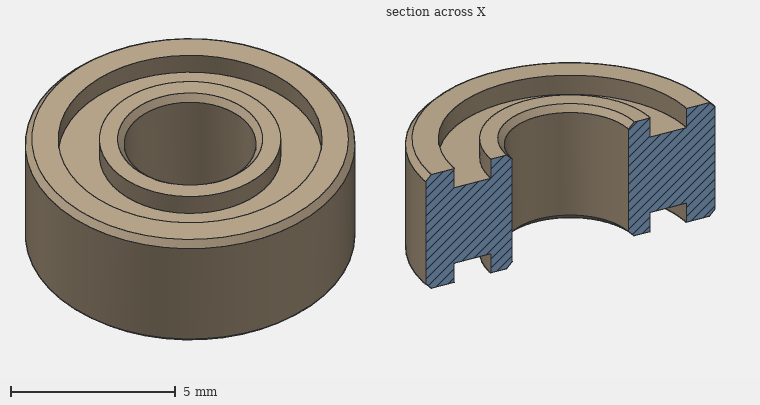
import cadquery as cq

OUTER_DIAMETER = 10.0
BORE_DIAMETER = 4.0
WIDTH = 3.94
OUTER_RING_INNER_DIAMETER = 8.0
INNER_RING_OUTER_DIAMETER = 5.5
RECESS_DEPTH = 0.66
EDGE_CHAMFER = 0.2


def bearing_body():
    """Plain tube along Z with chamfered outer and bore edges at both ends."""
    tube = (
        cq.Workplane("XY")
        .circle(OUTER_DIAMETER / 2)
        .circle(BORE_DIAMETER / 2)
        .extrude(WIDTH)
    )
    return tube.faces("<Z or >Z").edges().chamfer(EDGE_CHAMFER)


def face_recess(floor_height):
    """Annular cutter between the two rings, starting at the given height."""
    return (
        cq.Workplane("XY")
        .workplane(offset=floor_height)
        .circle(OUTER_RING_INNER_DIAMETER / 2)
        .circle(INNER_RING_OUTER_DIAMETER / 2)
        .extrude(RECESS_DEPTH)
    )


result = bearing_body()
for recess_start in (0, WIDTH - RECESS_DEPTH):
    result = result.cut(face_recess(recess_start))